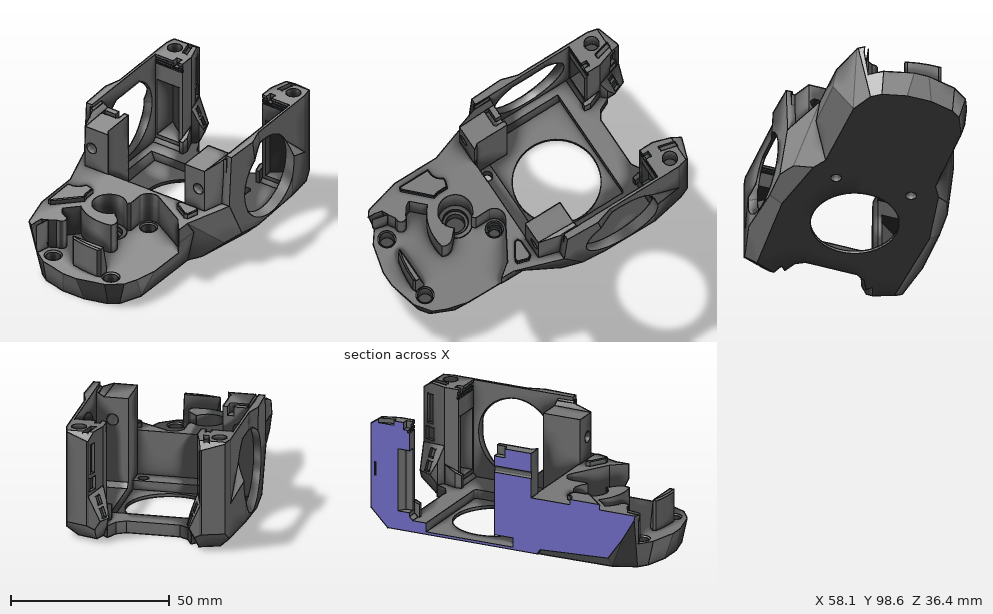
import cadquery as cq

LENGTH = 98.6
HEIGHT = 36.4
WIDTH = 58.1
HALF_WIDTH = WIDTH / 2
DECK_Z = 18.6
POCKET_Z = 8.3
FLOOR_Z = 3.9
TRAY_Z = 1.0
BIG = 197.1

INNER_X = 25.6
POST_X = 15.3
WIDEST_Y = 81.6
REAR_CORNER_Y = 96.0
SHOULDER = (27.7, 48.6)
NECK = (22.4, 32.9)
CAVITY_FRONT_Y = 42.2
CAVITY_BACK_Y = 84.9
BLOCK_TOP_Z = 33.5
BLOCK_FRONT_Y = 41.9
BLOCK_BACK_Y = 54.9
LEFT_LIP_X = 14.0
LIP_END_Y = 43.7
WALL_END = ((48.5, DECK_Z), (49.7, HEIGHT))

REAR_UNDERSIDE = [(INNER_X, REAR_CORNER_Y, 5.9), (26.2, 93.2, 3.4), (18.6, LENGTH, 5.9)]


def beyond(points, inside):
    """Large block filling the far side of the plane through three points, away from `inside`."""
    p, q, r = (cq.Vector(*point) for point in points)
    normal = (q - p).cross(r - p)
    if normal.dot(cq.Vector(*inside) - p) > 0:
        normal = normal * -1
    plane = cq.Plane(origin=p.toTuple(), normal=normal.toTuple())
    return cq.Workplane(plane).rect(2 * BIG, 2 * BIG).extrude(BIG)


def trim(body, planes, inside):
    """Keep the part of the body that lies on the `inside` side of every plane."""
    for points in planes:
        body = body.cut(beyond(points, inside))
    return body


def mirrored(points):
    return [(-x, y, z) for x, y, z in points]


def both_sides(planes):
    return planes + [mirrored(points) for points in planes]


def upright(a, b):
    """Three points of the vertical plane over the plan line a-b."""
    return [(*a, 0), (*b, 0), (*b, 1)]


def across(a, b):
    """Three points of the plane that runs along X through the (Y, Z) points a and b."""
    return [(0, *a), (1, *a), (0, *b)]


def box(x0, x1, y0, y1, z0, z1):
    return cq.Workplane("XY").box(x1 - x0, y1 - y0, z1 - z0, centered=False).translate((x0, y0, z0))


def prism(points, z0, z1):
    return cq.Workplane("XY").workplane(offset=z0).polyline(points).close().extrude(z1 - z0)


def drill(x, y, top, depth, diameter):
    return cq.Workplane("XY").workplane(offset=top - depth).center(x, y).circle(diameter / 2).extrude(depth)


def pair(shape):
    return shape.union(shape.mirror("YZ"))


def rear_body():
    start_y = 19.7
    widest = (HALF_WIDTH, WIDEST_Y)
    rear_corner = (INNER_X, REAR_CORNER_Y)
    neck_top = (*NECK, DECK_Z)
    neck_low = (25.6, 48.8, 3.9)
    belly = (28.3, 63.8, 3.6)
    sides = [
        upright(rear_corner, (18.6, LENGTH)),
        upright(rear_corner, widest),
        upright(widest, SHOULDER),
        [(*SHOULDER, DECK_Z), neck_top, neck_low],
        [neck_low, (18.3, 39.0, 0), neck_top],
        [(*widest, 5.4), belly, (26.2, 93.2, 3.4)],
        [belly, (28.0, 55.2, 5.1), neck_low],
        REAR_UNDERSIDE,
    ]
    rear_top = across((LENGTH, 34.2), (95.4, HEIGHT))
    block = box(-HALF_WIDTH, HALF_WIDTH, start_y, LENGTH, 0, HEIGHT)
    body = trim(block, both_sides(sides) + [rear_top], (0, 59.1, 14.8))
    above_deck = box(-BIG, BIG, 0, LENGTH, DECK_Z, BIG)
    return body.cut(trim(above_deck, [across(*WALL_END)], (0, 0, DECK_Z)))


def nose_body():
    tip = (2.5, 0, POCKET_Z)
    front_corner = (11.8, 2.4, POCKET_Z)
    side_corner = (16.8, 6.0, POCKET_Z)
    deck_corner = (19.5, 6.1, DECK_Z)
    heel = (18.0, 13.8, 0)
    front = [tip, (-2.5, 0, POCKET_Z), (0, 2.3, 0)]
    sides = [
        [tip, front_corner, (11.8, 4.2, 0)],
        [front_corner, side_corner, (14.6, 6.3, 0)],
        [deck_corner, heel, side_corner],
        [(NECK[0], 17.2, DECK_Z), deck_corner, heel],
        [(NECK[0], 35.9, 13.4), (NECK[0], 19.7, 14.2), (18.3, 39.0, 0)],
    ]
    block = box(-NECK[0], NECK[0], -4.9, CAVITY_FRONT_Y, 0, DECK_Z)
    return trim(block, [front] + both_sides(sides), (0, 24.6, 4.9))


def side_recess():
    recess_x = 26.5
    ramp = [(recess_x, 91.9, 15.3), (recess_x, 77.6, 28.9), (28.7, 83.1, 19.2)]
    front_facet = [(recess_x, 66.3, HEIGHT), (28.1, 61.1, HEIGHT), (recess_x, 67.3, 30.8)]
    rear = trim(box(recess_x, 39.4, 69, 94.6, 9.9, 49.3), [ramp], (27.6, 88.7, 29.6))
    front = box(recess_x, 39.4, 59.1, 78.8, 28.6, 49.3)
    return trim(rear.union(front), [front_facet], (27.6, 78.8, 34.5))


def side_window():
    diameter = 26.4
    center_y = 69.8
    inner_z = 19.5
    outer_z = 17.7
    depth = 4.4
    return (
        cq.Workplane("YZ", origin=(INNER_X - 0.5, center_y, inner_z)).circle(diameter / 2)
        .workplane(offset=depth).center(0, outer_z - inner_z).circle(diameter / 2).loft()
    )


def cavity():
    room = box(-INNER_X, INNER_X, BLOCK_BACK_Y, CAVITY_BACK_Y, FLOOR_Z, BIG)
    above_deck = box(-INNER_X, INNER_X, CAVITY_FRONT_Y, CAVITY_BACK_Y, DECK_Z, BIG)
    outline = [
        (POST_X, BIG), (POST_X, CAVITY_FRONT_Y), (-LEFT_LIP_X, CAVITY_FRONT_Y),
        (-POST_X, LIP_END_Y), (-POST_X, BIG),
    ]
    passage = prism(outline, FLOOR_Z, BIG)
    return room.union(above_deck).union(passage)


def tray():
    front_y = 48.4
    back_y = 78.9
    left_x = -21.8
    slope_width = 1.3
    profile = [
        (left_x, TRAY_Z), (POST_X, TRAY_Z), (POST_X, FLOOR_Z), (left_x - slope_width, FLOOR_Z),
    ]
    recess = cq.Workplane("XZ", origin=(0, back_y, 0)).polyline(profile).close().extrude(back_y - front_y)
    return recess.edges("|Z and >X and >Y").fillet(1.0)


def floor_holes():
    through = 2 * FLOOR_Z
    main = drill(0, 63.6, FLOOR_Z, through, 28.0)
    return main.union(pair(drill(12.5, 45.6, FLOOR_Z, through, 3.4)))


def rear_opening():
    half = [(8.7, 85.8), (11.6, 87.6), (13.6, 91.8), (13.6, 108.4)]
    outline = half + [(-x, y) for x, y in reversed(half)]
    return prism(outline, -1, BIG)


POST_TIP = (18.1, LENGTH)
POST_KNEE = (POST_X, 89.8)
SPUR_TIP = [(14.4, 98.0), (12.6, 93.7)]
SPUR_ROOT = (13.6, 91.5)
SPUR_CREST_Z = 16.8
SPUR_LOW_Z = 7.5


def post_inner_cut():
    """Removes the material inward of the slanted inner face of the post."""
    outline = [POST_KNEE, POST_TIP, (POST_TIP[0], BIG), (0, BIG), (0, SPUR_ROOT[1]), SPUR_ROOT]
    return prism(outline, -1, BIG)


def post_flare():
    """Spur that widens the lower end of the slanted inner face."""
    body = prism([POST_TIP, *SPUR_TIP, SPUR_ROOT, POST_KNEE], 0, SPUR_CREST_Z)
    slope = [(*POST_TIP, SPUR_CREST_Z - 1), (*POST_KNEE, SPUR_CREST_Z), (*SPUR_TIP[0], SPUR_LOW_Z)]
    underside = [(*SPUR_TIP[0], SPUR_LOW_Z), (*SPUR_TIP[1], SPUR_LOW_Z), (*SPUR_ROOT, FLOOR_Z)]
    return trim(body, [slope, underside, REAR_UNDERSIDE], (16.8, 92.6, 9.9))


def spur_pockets():
    """Two shallow pockets, one above the other, in the slope of the spur."""
    depth = 2.5
    strip = [(18.0, 94.6), (13.8, 96.2), (13.0, 94.2), (17.1, 92.6)]
    floor = [(*POST_TIP, SPUR_CREST_Z - 1 - depth), (*POST_KNEE, SPUR_CREST_Z - depth)]
    floor.append((*SPUR_TIP[0], SPUR_LOW_Z - depth))
    pockets = prism(strip, 7.9, 11.0).union(prism(strip, 12.0, 14.8))
    return trim(pockets, [floor], (13.8, 95.6, 29.6))


def post_foot():
    front_y = 83.2
    outline = [(POST_X, 89.7), (13.7, 85.3), (14.0, front_y), (POST_X, front_y)]
    body = prism(outline, FLOOR_Z, 10.8)
    return trim(body, [across((89.7, 10.5), (front_y, 8.3))], (14.8, 84.8, 4.9))


def base_chamfer(wall_y, width):
    """Sloped foot along a wall facing along Y; a negative width puts it on the -Y side."""
    profile = [(wall_y, FLOOR_Z), (wall_y + width, FLOOR_Z), (wall_y, FLOOR_Z + abs(width))]
    return cq.Workplane("YZ", origin=(POST_X, 0, 0)).polyline(profile).close().extrude(INNER_X - POST_X)


def post_cuts():
    front_y = CAVITY_BACK_Y - 1
    bolt_depth = 7.9
    slot_depth = 1.5
    notch_depth = 2.4
    bolt = drill(22.7, 91.4, HEIGHT, bolt_depth, 4.7)
    slot_outline = [(20.5, 95.8), (18.7, 95.8), (17.3, 90.4), (19.1, 90.4)]
    rear_slot = prism(slot_outline, HEIGHT - slot_depth, BIG)
    notch = box(17.0, 18.8, front_y, 86.9, HEIGHT - notch_depth, BIG)
    groove = box(POST_X, INNER_X, front_y, CAVITY_BACK_Y + 0.4, 34.4, 35.4)
    lower_groove = box(POST_X, INNER_X, front_y, CAVITY_BACK_Y + 0.6, 33.1, 33.8)
    window = box(16.6, 25.0, front_y, 93.6, 6.4, 27.1)
    window = trim(window, [upright((16.6, 87.2), (25.0, 93.6))], (23.7, 85.7, 19.7))
    return bolt.union(rear_slot).union(notch).union(groove).union(lower_groove).union(window)


def post_face_slots():
    """A long and a short upright slot sunk into the slanted inner face of the post."""
    depth = 1.2
    rear_shift = 1.8
    forward = (POST_KNEE[0] - POST_TIP[0], POST_KNEE[1] - POST_TIP[1], 0)
    middle = ((POST_TIP[0] + POST_KNEE[0]) / 2, (POST_TIP[1] + POST_KNEE[1]) / 2, 0)
    face = cq.Plane(origin=middle, xDir=forward, normal=(forward[1], -forward[0], 0))
    long_slot = cq.Workplane(face).center(-rear_shift, 27.6).rect(2.4, 9.9).extrude(-depth)
    short_slot = cq.Workplane(face).center(-rear_shift, 19.2).rect(3.5, 4.3).extrude(-depth)
    return long_slot.union(short_slot)


def front_block(front_inner_x):
    wall_x = INNER_X + 0.5
    shoulder_rise = 1.2
    root_z = DECK_Z - 1
    bore_x, bore_z, bore_diameter = 20.4, 26.1, 3.7
    outline = [
        (front_inner_x, BLOCK_FRONT_Y), (22.9, BLOCK_FRONT_Y), (25.0, 49.3), (wall_x, 49.3),
        (wall_x, BLOCK_BACK_Y), (POST_X, BLOCK_BACK_Y), (POST_X, LIP_END_Y),
    ]
    block = prism(outline, root_z, BLOCK_TOP_Z)

    top_edge = [(22.8, 42.4, BLOCK_TOP_Z), (23.1, 52.7, BLOCK_TOP_Z)]
    shoulder = [*top_edge, (24.8, 49.3, BLOCK_TOP_Z + shoulder_rise)]
    rise = trim(prism(outline, BLOCK_TOP_Z, HEIGHT), [shoulder], (24.6, 49.3, BLOCK_TOP_Z))

    joint = box(24.8, wall_x, WALL_END[0][0], BLOCK_BACK_Y, root_z, BLOCK_TOP_Z + shoulder_rise)
    joint = trim(joint, [across(*WALL_END)], (INNER_X, BLOCK_BACK_Y, BLOCK_TOP_Z))

    bore = cq.Workplane("XZ", origin=(bore_x, BLOCK_FRONT_Y, bore_z)).circle(bore_diameter / 2)
    return block.union(rise).union(joint).cut(bore.extrude(BLOCK_FRONT_Y - BLOCK_BACK_Y))


def cable_channel():
    depth = 3.0
    bottom_z = BLOCK_TOP_Z - depth
    inlet = box(-18.8, -16.9, 51.3, BLOCK_BACK_Y + 1, bottom_z, BIG)
    return inlet.union(box(-23.0, -16.9, 51.3, 52.9, bottom_z, BIG)).edges("|Z and >X and <Y").fillet(0.9)


PIVOT = (-4.2, 28.3)
PIN = (4.6, 37.2)


def mechanism_pocket():
    outline = (
        cq.Workplane("XY").workplane(offset=POCKET_Z)
        .moveTo(22.4, 28.3).lineTo(18.5, 33.2).lineTo(6.4, 40.3)
        .threePointArc((2.6, 40.1), (1.1, 37.65)).lineTo(1.1, 32.5).lineTo(-0.2, 31.1).lineTo(0.3, 24.8)
        .lineTo(2.7, 22.6).threePointArc((3.7, 20.4), (3.2, 18.4))
        .threePointArc((-4.7, 18.6), (-10.8, 22.1)).lineTo(-14.9, 17.9)
        .threePointArc((-14.4, 16.8), (-13.1, 15.5)).lineTo(-11.8, 14.6)
        .threePointArc((-10.4, 12.2), (-11.4, 11.3)).lineTo(-12.6, 11.2).lineTo(-14.9, 9.9)
        .lineTo(-16.1, 4.9).lineTo(-16.1, -9.9).lineTo(39.4, -9.9).lineTo(39.4, 28.3).close()
    )
    return outline.extrude(BIG)


def pocket_ramp():
    """Slanted wall beside the nose, leaning away from the pocket."""
    profile = [(-15.0, 9.9), (-16.1, 4.9), (-16.1, 0), (-17.6, 0), (-17.3, 8.5), (-16.8, 9.0)]
    body = prism(profile, POCKET_Z, BIG)
    slope = [(-15.0, 9.9, POCKET_Z), (-16.1, 4.9, POCKET_Z), (-17.5, 5.9, DECK_Z)]
    return trim(body, [slope], (-15.3, 6.9, DECK_Z + 9.9))


def rimmed_hole(x, y, depth, diameter):
    """Blind hole in the pocket floor with a small countersink."""
    rim = 0.5
    radius = diameter / 2
    cone = cq.Solid.makeCone(radius, radius + rim, rim, cq.Vector(x, y, POCKET_Z - rim))
    return drill(x, y, POCKET_Z, depth, diameter).union(cq.Workplane(cone))


def pivot_bore():
    bore_depth = DECK_Z - 7.9
    seat_depth = 2.0
    hole_depth = 5.9
    bore = drill(*PIVOT, DECK_Z, bore_depth, 11.0)
    seat = rimmed_hole(*PIVOT, seat_depth, 8.1)
    return bore.union(seat).union(drill(*PIVOT, POCKET_Z, hole_depth, 6.1))


def pocket_holes():
    seat_depth = 3.0
    depth = 5.9
    nose_hole = (11.0, 7.0)
    pin_hole = rimmed_hole(*PIN, seat_depth, 4.7).union(drill(*PIN, POCKET_Z, depth, 3.7))
    return pin_hole.union(pair(rimmed_hole(*nose_hole, depth, 4.7)))


def stop_plate():
    """Upright plate with a curved front and a sloping back, standing on the pocket floor."""
    rim = 0.5
    outline = (
        cq.Workplane("XY").workplane(offset=POCKET_Z - 1).moveTo(-3.3, 6.8).lineTo(-2.7, 6.0)
        .threePointArc((2.7, 5.0), (7.3, 4.8)).lineTo(8.4, 5.2).lineTo(8.4, 8.4).lineTo(-1.3, 8.8).close()
    )
    body = outline.extrude(DECK_Z - POCKET_Z + 1).faces(">Z").edges("%CIRCLE").chamfer(rim)
    return trim(body, [across((8.8, POCKET_Z), (6.7, DECK_Z))], (3, 5.9, POCKET_Z))


def deck_pads():
    thickness = 1.8
    rim = 0.3
    level = cq.Workplane("XY").workplane(offset=DECK_Z)
    left = (
        level.moveTo(-20.1, 28.3).lineTo(-18.0, 28.4).threePointArc((-16.3, 29.3), (-15.1, 30.9))
        .lineTo(-13.9, 30.9).lineTo(-11.9, 30.3).lineTo(-11.9, 26.8).lineTo(-11.4, 25.0)
        .lineTo(-19.1, 17.3).lineTo(-20.1, 17.6).close().extrude(thickness)
    )
    right = (
        level.moveTo(14.6, 39.4).lineTo(15.8, 40.1).lineTo(21.2, 40.1).lineTo(22.1, 38.9)
        .lineTo(21.0, 35.2).lineTo(19.7, 35.1).lineTo(14.8, 38.1).close().extrude(thickness)
    )
    return left.faces(">Z").edges().chamfer(rim).union(right.faces(">Z").edges().chamfer(rim))


body = rear_body().union(nose_body())
for tool in (side_recess(), post_inner_cut()):
    body = body.cut(pair(tool))
left_window_top = 30.8
left_window = side_window().mirror("YZ").intersect(box(-BIG, 0, 0, LENGTH, 0, left_window_top))
body = body.cut(side_window()).cut(left_window)
body = body.cut(cavity()).cut(tray()).cut(rear_opening())

body = body.cut(pair(post_cuts())).cut(pair(post_face_slots()))
for detail in (post_flare(), post_foot(), base_chamfer(CAVITY_BACK_Y, -1.2)):
    body = body.union(pair(detail))
body = body.cut(pair(spur_pockets()))

right_block_base = base_chamfer(BLOCK_BACK_Y, 1.6)
body = body.union(front_block(POST_X)).union(front_block(LEFT_LIP_X).mirror("YZ")).union(right_block_base)
body = body.cut(cable_channel()).cut(floor_holes())

body = body.cut(mechanism_pocket()).cut(pocket_ramp())
body = body.union(stop_plate()).cut(pivot_bore()).cut(pocket_holes()).union(deck_pads())
result = body